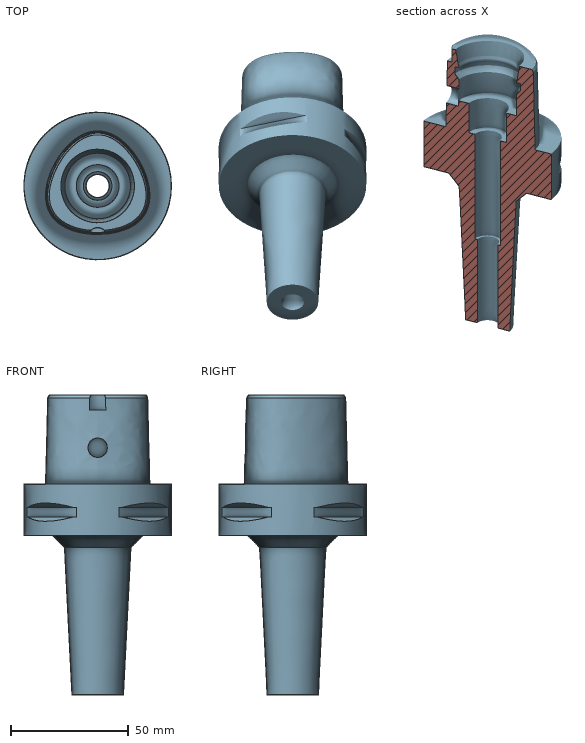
import cadquery as cq
import math


FLANGE_DIAMETER = 63.0
FLANGE_HEIGHT = 22.0

SHANK_HEIGHT = 38.0
SHANK_BASE_DIAMETER = 44.2
SHANK_TAPER = 1 / 20
SHANK_LOBE_OFFSET = 1.4
SHANK_CURVE_POINTS = 72
SHANK_CHAMFER_HEIGHT = 1.2
SHANK_CHAMFER_WIDTH = 0.7

SHOULDER_TOP_DIAMETER = 38.4
SHOULDER_HEIGHT = 5.0
NECK_TOP_DIAMETER = 28.4
TIP_DIAMETER = 22.0
NOSE_HEIGHT = 68.0

MOUTH_DIAMETER = 31.4
MOUTH_END_DIAMETER = 28.9
MOUTH_DEPTH = 6.5
BORE_DIAMETER = 28.0
BORE_LIP_DEPTH = 7.8
UNDERCUT_DIAMETER = 32.0
UNDERCUT_START_DEPTH = 8.4
UNDERCUT_END_DEPTH = 11.7
UNDERCUT_CONE_END_DEPTH = 14.0
BORE_DEPTH = 24.0
SCREW_HOLE_DIAMETER = 18.2
SCREW_HOLE_DEPTH = 38.0
CLEARANCE_DIAMETER = 12.2
TOOL_BORE_DIAMETER = 9.8
TOOL_BORE_LENGTH = 40.0

GROOVE_COUNT = 4
GROOVE_FIRST_ANGLE = 45.0
GROOVE_CENTRE_Z = -12.0
GROOVE_FLOOR_DISTANCE = 27.75
GROOVE_FLOOR_WIDTH = 4.0
GROOVE_STRAIGHT_DEPTH = 0.6
GROOVE_MOUTH_WIDTH = 7.8

NOTCH_RADIUS = 4.0
NOTCH_DEPTH = 6.3
NOTCH_BOTTOM_Y = -17.75
SIDE_HOLE_DIAMETER = 8.2
SIDE_HOLE_Z = 15.5
SIDE_HOLE_FLOOR_Y = -14.6

FLANGE_RADIUS = FLANGE_DIAMETER / 2
TIP_Z = -FLANGE_HEIGHT - NOSE_HEIGHT


def shank_section(z, inset=0.0):
    """Closed three-lobed wire of the tapered shank at height z, with one lobe toward +Y."""
    radius = (SHANK_BASE_DIAMETER - SHANK_TAPER * z) / 2 - inset

    def point(t):
        angle = 2 * math.pi * t - math.pi / 2
        x = radius * math.cos(angle) - SHANK_LOBE_OFFSET * math.sin(2 * angle)
        y = radius * math.sin(angle) - SHANK_LOBE_OFFSET * math.cos(2 * angle)
        return (x, y, z)

    return cq.Workplane("XY").parametricCurve(point, N=SHANK_CURVE_POINTS).val()


def shank():
    """Tapered polygon shank with a chamfered top edge."""
    chamfer_z = SHANK_HEIGHT - SHANK_CHAMFER_HEIGHT
    base = shank_section(0.0)
    shoulder = shank_section(chamfer_z)
    top = shank_section(SHANK_HEIGHT, SHANK_CHAMFER_WIDTH)
    body = cq.Solid.makeLoft([base, shoulder], True)
    chamfer = cq.Solid.makeLoft([shoulder, top], True)
    return cq.Workplane(body).union(cq.Workplane(chamfer))


def revolve_profile(points):
    """Solid of revolution about Z from (radius, z) points."""
    return cq.Workplane("XZ").polyline(points).close().revolve(360, (0, 0, 0), (0, 1, 0))


def flange_and_nose():
    """Round flange, conical shoulder and slender tapered neck."""
    flange_bottom = -FLANGE_HEIGHT
    neck_top = flange_bottom - SHOULDER_HEIGHT
    return revolve_profile([
        (0, 0),
        (FLANGE_RADIUS, 0),
        (FLANGE_RADIUS, flange_bottom),
        (SHOULDER_TOP_DIAMETER / 2, flange_bottom),
        (NECK_TOP_DIAMETER / 2, neck_top),
        (TIP_DIAMETER / 2, TIP_Z),
        (0, TIP_Z),
    ])


def stepped_bore():
    """Cutter for the bore: conical mouth, undercut and steps down to the tool bore."""
    tool_bore_depth = SHANK_HEIGHT - TIP_Z - TOOL_BORE_LENGTH
    steps = [
        (MOUTH_DIAMETER, 0),
        (MOUTH_END_DIAMETER, MOUTH_DEPTH),
        (BORE_DIAMETER, BORE_LIP_DEPTH),
        (BORE_DIAMETER, UNDERCUT_START_DEPTH),
        (UNDERCUT_DIAMETER, UNDERCUT_START_DEPTH),
        (UNDERCUT_DIAMETER, UNDERCUT_END_DEPTH),
        (BORE_DIAMETER, UNDERCUT_CONE_END_DEPTH),
        (BORE_DIAMETER, BORE_DEPTH),
        (SCREW_HOLE_DIAMETER, BORE_DEPTH),
        (SCREW_HOLE_DIAMETER, SCREW_HOLE_DEPTH),
        (CLEARANCE_DIAMETER, SCREW_HOLE_DEPTH),
        (CLEARANCE_DIAMETER, tool_bore_depth),
        (TOOL_BORE_DIAMETER, tool_bore_depth),
        (TOOL_BORE_DIAMETER, SHANK_HEIGHT - TIP_Z),
    ]
    wall = [(diameter / 2, SHANK_HEIGHT - depth) for diameter, depth in steps]
    return revolve_profile([(0, SHANK_HEIGHT)] + wall + [(0, TIP_Z)])


def gripper_groove(angle):
    """Cutter for one straight groove, flaring toward the rim, that faces outward at the given angle."""
    half_floor = GROOVE_FLOOR_WIDTH / 2
    half_mouth = GROOVE_MOUTH_WIDTH / 2
    slope_start = GROOVE_FLOOR_DISTANCE + GROOVE_STRAIGHT_DEPTH
    return (
        cq.Workplane("XZ")
        .polyline([
            (GROOVE_FLOOR_DISTANCE, GROOVE_CENTRE_Z - half_floor),
            (slope_start, GROOVE_CENTRE_Z - half_floor),
            (FLANGE_RADIUS, GROOVE_CENTRE_Z - half_mouth),
            (FLANGE_RADIUS, GROOVE_CENTRE_Z + half_mouth),
            (slope_start, GROOVE_CENTRE_Z + half_floor),
            (GROOVE_FLOOR_DISTANCE, GROOVE_CENTRE_Z + half_floor),
        ])
        .close()
        .extrude(FLANGE_RADIUS, both=True)
        .rotate((0, 0, 0), (0, 0, 1), angle)
    )


def key_notch():
    """Cutter for the round-backed notch in the top edge of the shank."""
    return (
        cq.Workplane("XY", origin=(0, NOTCH_BOTTOM_Y - NOTCH_RADIUS, SHANK_HEIGHT))
        .circle(NOTCH_RADIUS)
        .extrude(-NOTCH_DEPTH)
    )


def side_hole():
    """Cutter for the flat-bottomed hole in the -Y face of the shank."""
    return (
        cq.Workplane("XZ", origin=(0, SIDE_HOLE_FLOOR_Y, SIDE_HOLE_Z))
        .circle(SIDE_HOLE_DIAMETER / 2)
        .extrude(FLANGE_RADIUS + SIDE_HOLE_FLOOR_Y)
    )


result = flange_and_nose().union(shank())
result = result.cut(stepped_bore())
for index in range(GROOVE_COUNT):
    result = result.cut(gripper_groove(GROOVE_FIRST_ANGLE + index * 360 / GROOVE_COUNT))
result = result.cut(key_notch()).cut(side_hole())